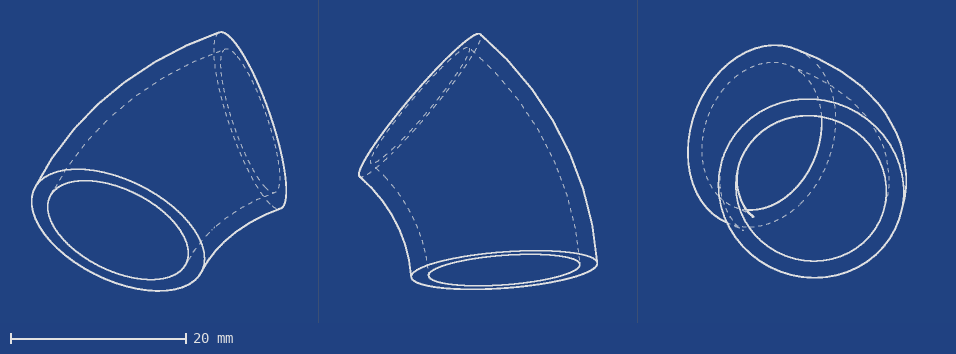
import cadquery as cq
import math

bend_angle = 45.0
overall_length = 27.33
outer_diameter = 21.3
wall_thickness = 2.0

inner_diameter = outer_diameter - 2 * wall_thickness

outermost_radius = overall_length / math.sin(math.radians(bend_angle))
bend_radius = outermost_radius - outer_diameter / 2


def bent_rod(diameter):
    """Solid round bar that starts on the XZ plane and bends from +Y toward +X."""
    return (
        cq.Workplane("XZ")
        .circle(diameter / 2)
        .revolve(bend_angle, (bend_radius, 0), (bend_radius, -1))
    )


result = bent_rod(outer_diameter).cut(bent_rod(inner_diameter))